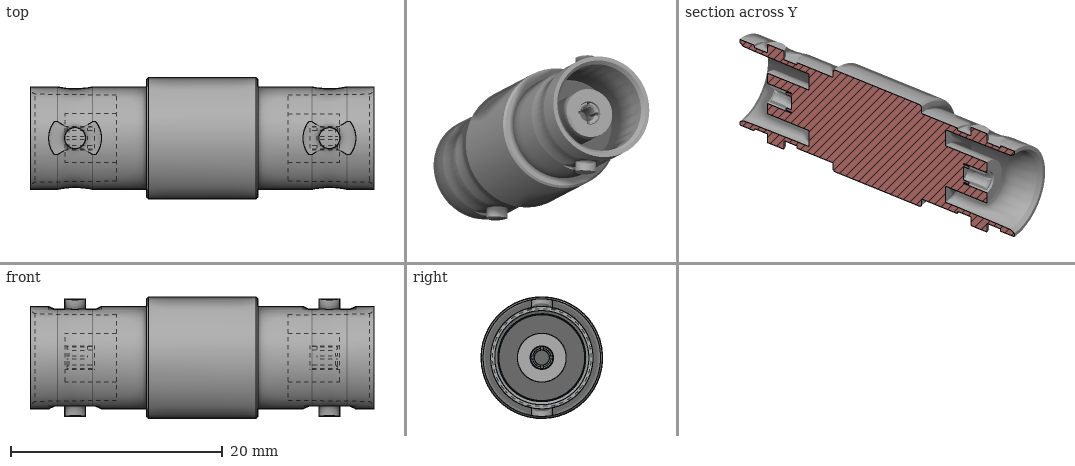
import cadquery as cq

length = 32.5
half_length = length / 2

barrel_radius = 4.85
collar_radius = 5.75
collar_width = 10.53
collar_chamfer = 0.2

station_inset = 4.22
waist_width = 3.3
waist_depth = 0.18
seat_radius = 2.5
seat_height = 4.58
pin_diameter = 1.98
pin_radius = pin_diameter / 2
pin_tip_radius = 5.55
pin_root = 4.4

mouth_radius = 4.45
lead_in_radius = 4.15
lead_in_depth = 0.42
floor_radius = 4.05
floor_depth = 8.12

post_radius = 2.3
post_inset = 3.25

well_radius = 1.1
contact_radius = 1.05
contact_recess = 0.2
contact_length = 2.6
contact_lead_in_radius = 0.88
contact_hole_radius = 0.7
contact_lead_in_depth = 0.2
slot_width = 0.3
slot_depth = 1.95


def cylinder_x(radius, start, end):
    """Solid cylinder about the X axis from X = start to X = end."""
    return cq.Workplane("YZ").workplane(offset=start).circle(radius).extrude(end - start)


def revolve_x(profile):
    """Revolve a closed XY profile about the X axis."""
    return profile.close().revolve(360, (0, 0, 0), (1, 0, 0))


def make_body():
    """Barrel with the chamfered collar at its middle."""
    barrel = cylinder_x(barrel_radius, -half_length, half_length)
    collar = cylinder_x(collar_radius, -collar_width / 2, collar_width / 2)
    return barrel.union(collar.edges().chamfer(collar_chamfer))


def make_waist(station):
    """Shallow ring with an arc section, to be cut from the barrel."""
    outside = collar_radius
    start = station - waist_width / 2
    end = station + waist_width / 2
    return revolve_x(
        cq.Workplane("XY")
        .moveTo(start, outside)
        .lineTo(start, barrel_radius)
        .threePointArc((station, barrel_radius - waist_depth), (end, barrel_radius))
        .lineTo(end, outside)
    )


def make_seats(station):
    """Round tools that leave a flat seat above and below the barrel."""
    tool_height = collar_radius - seat_height
    seat = cq.Workplane("XY", origin=(station, 0, seat_height)).circle(seat_radius).extrude(tool_height)
    return seat.union(seat.mirror("XY"))


def make_pins(station):
    """Opposed bayonet pins with tips rounded about the X axis."""
    pin = (
        cq.Workplane("XY", origin=(station, 0, pin_root))
        .circle(pin_radius)
        .extrude(collar_radius - pin_root)
        .intersect(cylinder_x(pin_tip_radius, station - pin_radius, station + pin_radius))
    )
    return pin.union(pin.mirror("XY"))


def make_socket(mouth):
    """Tapered socket cavity, less the post, with its mouth at X = mouth."""
    floor = mouth + floor_depth
    post_face = mouth + post_inset
    return revolve_x(
        cq.Workplane("XY")
        .moveTo(mouth, 0)
        .lineTo(mouth, mouth_radius)
        .lineTo(mouth + lead_in_depth, lead_in_radius)
        .lineTo(floor, floor_radius)
        .lineTo(floor, post_radius)
        .lineTo(post_face, post_radius)
        .lineTo(post_face, 0)
    )


def make_contact(face):
    """Slotted tubular contact with a countersunk hole, its end at X = face."""
    root = face + contact_length
    contact = revolve_x(
        cq.Workplane("XY")
        .moveTo(face, contact_radius)
        .lineTo(face, contact_lead_in_radius)
        .lineTo(face + contact_lead_in_depth, contact_hole_radius)
        .lineTo(root, contact_hole_radius)
        .lineTo(root, contact_radius)
    )
    slots = cq.Workplane("YZ").workplane(offset=face)
    slots = slots.rect(slot_width, 2 * well_radius).extrude(slot_depth)
    return contact.cut(slots).cut(slots.rotate((0, 0, 0), (1, 0, 0), 90))


def add_connector(body):
    """Form the connector at the -X end of the body."""
    mouth = -half_length
    station = mouth + station_inset
    post_face = mouth + post_inset
    contact_face = post_face + contact_recess
    well = cylinder_x(well_radius, post_face, contact_face + contact_length)
    return (
        body.cut(make_waist(station))
        .cut(make_seats(station))
        .union(make_pins(station))
        .cut(make_socket(mouth))
        .cut(well)
        .union(make_contact(contact_face))
    )


body = add_connector(make_body())
result = add_connector(body.rotate((0, 0, 0), (0, 0, 1), 180))